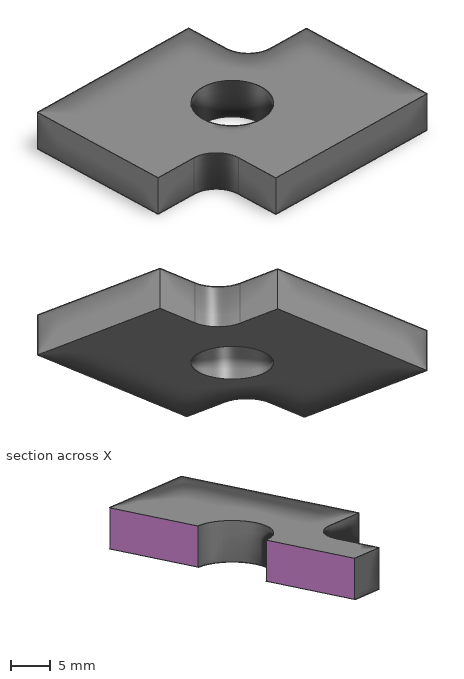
import cadquery as cq

LENGTH_X = 32.0
LENGTH_Y = 37.59
THICKNESS = 5.5

HOLE_DIAMETER = 10.41

NOTCH_X = 10.605
NOTCH_Y = 10.41
NOTCH_RADIUS = 4.0


def corner_notch(corner_x, corner_y, inner_edge):
    """Cutter centred on a plate corner; only its edge inside the plate is rounded."""
    return (
        cq.Workplane("XY")
        .center(corner_x, corner_y)
        .rect(2 * NOTCH_X, 2 * NOTCH_Y)
        .extrude(THICKNESS)
        .edges(f"|Z and {inner_edge}")
        .fillet(NOTCH_RADIUS)
    )


def make_plate():
    """Rectangular plate with the central hole."""
    return (
        cq.Workplane("XY")
        .rect(LENGTH_X, LENGTH_Y)
        .extrude(THICKNESS)
        .faces(">Z")
        .workplane()
        .hole(HOLE_DIAMETER)
    )


front_right_notch = corner_notch(LENGTH_X / 2, -LENGTH_Y / 2, "<X and >Y")
back_left_notch = corner_notch(-LENGTH_X / 2, LENGTH_Y / 2, ">X and <Y")

result = make_plate().cut(front_right_notch).cut(back_left_notch)